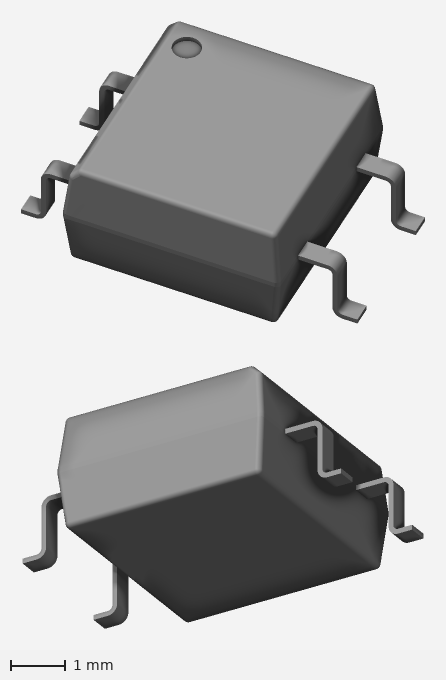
import cadquery as cq
import math

overall_length = 6.8
overall_height = 2.35

body_length = 4.4
body_width = 4.6
standoff = 0.05
draft_inset = 0.115
edge_radius = 0.1
bevel_size = 0.185

marker_diameter = 0.56
marker_x = -1.46
marker_y = 1.57
marker_depth = 0.1

lead_thickness = 0.1
lead_width = 0.4
lead_pitch = 2.535
lead_mid_height = 1.205
lead_knee_x = 3.0
bend_inner_radius = 0.1
bend_outer_radius = bend_inner_radius + lead_thickness

band_bottom = lead_mid_height - lead_thickness / 2
band_top = lead_mid_height + lead_thickness / 2


def drafted_half(parting_z, end_z):
    """Half of the housing, narrowing from the parting band to its flat end face."""
    return (
        cq.Workplane("XY", origin=(0, 0, parting_z))
        .rect(body_length, body_width)
        .workplane(offset=end_z - parting_z)
        .rect(body_length - 2 * draft_inset, body_width - 2 * draft_inset)
        .loft(combine=True, ruled=True)
    )


def bevel_cutter():
    """45 degree wedge that removes the top edge on the -X side."""
    top_edge_x = -body_length / 2 + draft_inset
    reach = 2 * bevel_size
    return (
        cq.Workplane("XZ", origin=(0, body_width / 2, 0))
        .moveTo(top_edge_x + bevel_size, overall_height)
        .lineTo(top_edge_x + bevel_size - reach, overall_height - reach)
        .lineTo(top_edge_x + bevel_size - reach, overall_height)
        .close()
        .extrude(body_width)
    )


def borders_band(edge):
    """True for a level edge along the top or bottom of the parting band."""
    box = edge.BoundingBox()
    is_level = box.zlen < lead_thickness / 2
    is_at_band = abs(edge.Center().z - lead_mid_height) < lead_thickness
    return is_level and is_at_band


def make_housing():
    band = (
        cq.Workplane("XY", origin=(0, 0, band_bottom))
        .rect(body_length, body_width)
        .extrude(lead_thickness)
    )
    housing = band.union(drafted_half(band_bottom, standoff))
    housing = housing.union(drafted_half(band_top, overall_height))
    housing = housing.cut(bevel_cutter())

    rounded = [edge for edge in housing.edges().vals() if not borders_band(edge)]
    housing = housing.newObject(rounded).fillet(edge_radius)

    marker = (
        cq.Workplane("XY", origin=(marker_x, marker_y, overall_height))
        .circle(marker_diameter / 2)
        .extrude(-marker_depth)
    )
    return housing.cut(marker)


def make_lead(side, y_centre):
    """Gull-wing lead; side is +1 or -1 for the end of the housing it meets."""
    root_x = side * body_length / 2
    knee_outer_x = side * lead_knee_x
    knee_inner_x = side * (lead_knee_x - lead_thickness)
    toe_x = side * overall_length / 2
    inner = bend_inner_radius
    outer = bend_outer_radius
    knee_bend_x = side * (lead_knee_x - outer)
    foot_bend_x = side * (lead_knee_x + inner)
    knee_bend_z = band_top - outer
    foot_bend_z = outer
    diagonal = math.sqrt(0.5)

    return (
        cq.Workplane("XZ", origin=(0, y_centre + lead_width / 2, 0))
        .moveTo(root_x, band_top)
        .lineTo(knee_bend_x, band_top)
        .threePointArc(
            (knee_bend_x + side * outer * diagonal, knee_bend_z + outer * diagonal),
            (knee_outer_x, knee_bend_z),
        )
        .lineTo(knee_outer_x, foot_bend_z)
        .threePointArc(
            (foot_bend_x - side * inner * diagonal, foot_bend_z - inner * diagonal),
            (foot_bend_x, lead_thickness),
        )
        .lineTo(toe_x, lead_thickness)
        .lineTo(toe_x, 0)
        .lineTo(foot_bend_x, 0)
        .threePointArc(
            (foot_bend_x - side * outer * diagonal, foot_bend_z - outer * diagonal),
            (knee_inner_x, foot_bend_z),
        )
        .lineTo(knee_inner_x, knee_bend_z)
        .threePointArc(
            (knee_bend_x + side * inner * diagonal, knee_bend_z + inner * diagonal),
            (knee_bend_x, band_bottom),
        )
        .lineTo(root_x, band_bottom)
        .close()
        .extrude(lead_width)
    )


housing = make_housing()

leads = []
for side in (-1, 1):
    for y_centre in (-lead_pitch / 2, lead_pitch / 2):
        leads.append(make_lead(side, y_centre).val())

result = cq.Compound.makeCompound([housing.val(), *leads])